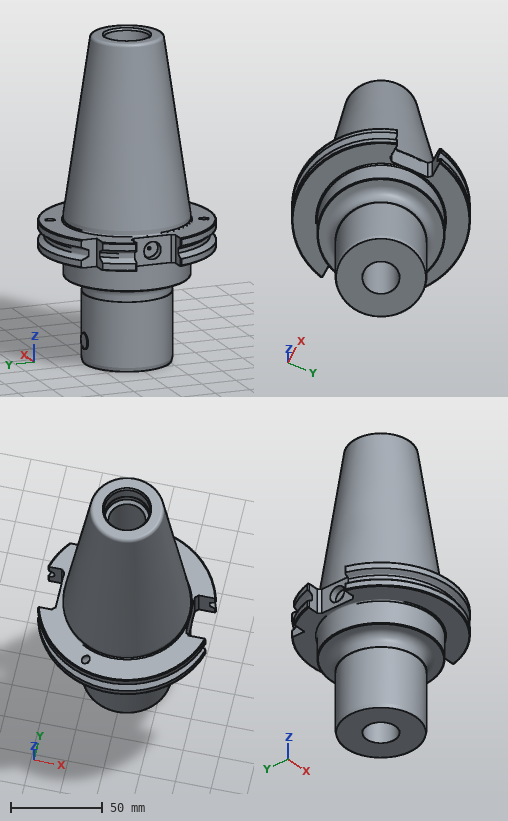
import cadquery as cq
import math

TOTAL_HEIGHT = 184.6
NOSE_BEVEL_HEIGHT = 2.4
SHANK_TOP = 39.7
COLLAR_BOTTOM = 48.4
FLANGE_BOTTOM = 63.9
FLANGE_HEIGHT = 15.9
FLANGE_TOP = FLANGE_BOTTOM + FLANGE_HEIGHT
GAUGE_HEIGHT = FLANGE_TOP + 3.1

SHANK_RADIUS = 50.0 / 2
NECK_RADIUS = 24.7
NOSE_BEVEL = 0.5
COLLAR_RADIUS = 34.9
FLANGE_RADIUS = 48.7
TAPER_RATIO = 7 / 24
TAPER_TOP_RADIUS = COLLAR_RADIUS - (TOTAL_HEIGHT - GAUGE_HEIGHT) * TAPER_RATIO / 2

TAPER_TOP_FILLET = 2.0
NECK_FILLET = 5.4
COLLAR_CHAMFER = 0.5
FLANGE_CHAMFER = 0.5
FLANGE_ROOT_FILLET = 0.7

GROOVE_FLOOR_RADIUS = 45.5
GROOVE_FLOOR_WIDTH = 3.5
GROOVE_FLANK_ANGLE = 30.0
GROOVE_FILLET = 1.0

TOOL_BORE_RADIUS = 10.2
SEAT_BORE_RADIUS = 12.4
SEAT_BORE_DEPTH = 11.5
SEAT_CONE_ANGLE = 30.0
UPPER_BORE_RADIUS = 12.5
UPPER_BORE_DEPTH = 8.3
MOUTH_RADIUS = 13.3
MOUTH_DEPTH = 1.3

SLOT_WIDTH = 25.7
SLOT_CORNER = 1.8
SLOT_MOUTH_START = 46.2
LEFT_SLOT_FLOOR = 37.5
RIGHT_SLOT_FLOOR = 35.5

NOTCH_OFFSET = 29.7

CHIP_HOLE_DIAMETER = 10.0
CHIP_HOLE_DEPTH = 4.6
CHIP_PILOT_DIAMETER = 1.5
CHIP_PILOT_DEPTH = 1.0

COOLANT_DIAMETER = 4.0
COOLANT_START_RADIUS = 42.0
COOLANT_DIRECTION = 70.0
COOLANT_TILT = 40.0

SCREW_DIAMETER = 9.2
SCREW_HEIGHT = 13.3
SCREW_LENGTH = 7.4
SCREW_PROTRUSION = 0.4


def turned_blank():
    """Revolved outer form: shank, collar, flange and steep taper."""
    profile = (
        cq.Workplane("XZ")
        .moveTo(0, 0)
        .lineTo(SHANK_RADIUS - NOSE_BEVEL, 0)
        .lineTo(SHANK_RADIUS, NOSE_BEVEL_HEIGHT)
        .lineTo(SHANK_RADIUS, SHANK_TOP)
        .lineTo(NECK_RADIUS, SHANK_TOP)
        .lineTo(NECK_RADIUS, COLLAR_BOTTOM - NECK_FILLET)
        .radiusArc((NECK_RADIUS + NECK_FILLET, COLLAR_BOTTOM), NECK_FILLET)
        .lineTo(COLLAR_RADIUS - COLLAR_CHAMFER, COLLAR_BOTTOM)
        .lineTo(COLLAR_RADIUS, COLLAR_BOTTOM + COLLAR_CHAMFER)
        .lineTo(COLLAR_RADIUS, FLANGE_BOTTOM - FLANGE_ROOT_FILLET)
        .radiusArc((COLLAR_RADIUS + FLANGE_ROOT_FILLET, FLANGE_BOTTOM), FLANGE_ROOT_FILLET)
        .lineTo(FLANGE_RADIUS - FLANGE_CHAMFER, FLANGE_BOTTOM)
        .lineTo(FLANGE_RADIUS, FLANGE_BOTTOM + FLANGE_CHAMFER)
        .lineTo(FLANGE_RADIUS, FLANGE_TOP - FLANGE_CHAMFER)
        .lineTo(FLANGE_RADIUS - FLANGE_CHAMFER, FLANGE_TOP)
        .lineTo(COLLAR_RADIUS + FLANGE_ROOT_FILLET, FLANGE_TOP)
        .radiusArc((COLLAR_RADIUS, FLANGE_TOP + FLANGE_ROOT_FILLET), FLANGE_ROOT_FILLET)
        .lineTo(COLLAR_RADIUS, GAUGE_HEIGHT)
        .lineTo(TAPER_TOP_RADIUS, TOTAL_HEIGHT)
        .lineTo(0, TOTAL_HEIGHT)
        .close()
    )
    blank = profile.revolve(360, (0, 0), (0, 1))
    return blank.faces(">Z").edges().fillet(TAPER_TOP_FILLET)


def v_groove():
    """Ring with sloping flanks, removed from the flange rim."""
    half_floor = GROOVE_FLOOR_WIDTH / 2
    rise = (FLANGE_RADIUS - GROOVE_FLOOR_RADIUS) * math.tan(math.radians(GROOVE_FLANK_ANGLE))
    middle = FLANGE_BOTTOM + FLANGE_HEIGHT / 2
    ring = (
        cq.Workplane("XZ")
        .moveTo(GROOVE_FLOOR_RADIUS, middle - half_floor)
        .lineTo(FLANGE_RADIUS, middle - half_floor - rise)
        .lineTo(FLANGE_RADIUS, middle + half_floor + rise)
        .lineTo(GROOVE_FLOOR_RADIUS, middle + half_floor)
        .close()
        .revolve(360, (0, 0), (0, 1))
    )
    floor_corners = ring.edges(cq.selectors.RadiusNthSelector(0))
    return floor_corners.fillet(GROOVE_FILLET)


def axial_bores():
    """Through tool bore, widened at the taper end by a conical seat, two steps and a bevelled mouth."""
    seat_top = TOTAL_HEIGHT - SEAT_BORE_DEPTH
    seat_drop = (SEAT_BORE_RADIUS - TOOL_BORE_RADIUS) * math.tan(math.radians(SEAT_CONE_ANGLE))
    return (
        cq.Workplane("XZ")
        .lineTo(TOOL_BORE_RADIUS, 0)
        .lineTo(TOOL_BORE_RADIUS, seat_top - seat_drop)
        .lineTo(SEAT_BORE_RADIUS, seat_top)
        .lineTo(SEAT_BORE_RADIUS, TOTAL_HEIGHT - UPPER_BORE_DEPTH)
        .lineTo(UPPER_BORE_RADIUS, TOTAL_HEIGHT - UPPER_BORE_DEPTH)
        .lineTo(UPPER_BORE_RADIUS, TOTAL_HEIGHT - MOUTH_DEPTH)
        .lineTo(MOUTH_RADIUS, TOTAL_HEIGHT)
        .lineTo(0, TOTAL_HEIGHT)
        .close()
        .revolve(360, (0, 0), (0, 1))
    )


def drive_slot(side, floor):
    """Slot cutter on one side (side = -1 or +1), with bevelled inner corners and a flared mouth."""
    half_width = SLOT_WIDTH / 2
    flared_half = half_width + FLANGE_RADIUS - SLOT_MOUTH_START
    outline = [
        (floor, half_width - SLOT_CORNER),
        (floor + SLOT_CORNER, half_width),
        (SLOT_MOUTH_START, half_width),
        (FLANGE_RADIUS, flared_half),
    ]
    upper_half = [(side * x, y) for x, y in outline]
    lower_half = [(x, -y) for x, y in reversed(upper_half)]
    plan = cq.Workplane("XY", origin=(0, 0, FLANGE_BOTTOM)).polyline(upper_half + lower_half)
    return plan.close().extrude(FLANGE_HEIGHT)


def orientation_notch():
    """Square step cut through the rim beyond the notch offset on -X and +Y."""
    return (
        cq.Workplane("XY", origin=(-NOTCH_OFFSET, NOTCH_OFFSET, FLANGE_BOTTOM))
        .rect(-FLANGE_RADIUS, FLANGE_RADIUS, centered=False)
        .extrude(FLANGE_HEIGHT)
    )


def chip_hole():
    """Flat-bottomed chip hole with a small pilot hole in its centre."""
    mouth = cq.Workplane("YZ", origin=(-LEFT_SLOT_FLOOR, 0, FLANGE_BOTTOM + FLANGE_HEIGHT / 2))
    hole = mouth.circle(CHIP_HOLE_DIAMETER / 2).extrude(CHIP_HOLE_DEPTH)
    pilot = mouth.circle(CHIP_PILOT_DIAMETER / 2).extrude(CHIP_HOLE_DEPTH + CHIP_PILOT_DEPTH)
    return hole.union(pilot)


def coolant_hole(direction):
    """Hole sloping inwards and down from the flange top to the tool bore."""
    tilt = math.radians(COOLANT_TILT)
    inwards = cq.Vector(-math.sin(tilt), 0, -math.cos(tilt))
    mouth = cq.Vector(COOLANT_START_RADIUS, 0, FLANGE_TOP)
    length = (COOLANT_START_RADIUS - TOOL_BORE_RADIUS / 2) / math.sin(tilt)
    start = mouth - inwards * COOLANT_DIAMETER
    drill = cq.Solid.makeCylinder(COOLANT_DIAMETER / 2, length + COOLANT_DIAMETER, start, inwards)
    return cq.Workplane(drill).rotate((0, 0, 0), (0, 0, 1), direction)


def clamping_screw():
    """Screw body standing slightly proud of the shank on the +Y side."""
    inner_end = SHANK_RADIUS + SCREW_PROTRUSION - SCREW_LENGTH
    return (
        cq.Workplane("XZ", origin=(0, inner_end, SCREW_HEIGHT))
        .circle(SCREW_DIAMETER / 2)
        .extrude(-SCREW_LENGTH)
    )


screw = clamping_screw()

holder = turned_blank().cut(v_groove()).cut(axial_bores())
holder = holder.cut(drive_slot(-1, LEFT_SLOT_FLOOR)).cut(drive_slot(1, RIGHT_SLOT_FLOOR))
holder = holder.cut(orientation_notch()).cut(chip_hole())
for opposite in (0, 180):
    holder = holder.cut(coolant_hole(COOLANT_DIRECTION + opposite))
holder = holder.cut(screw)

result = cq.Compound.makeCompound([holder.val(), screw.val()])